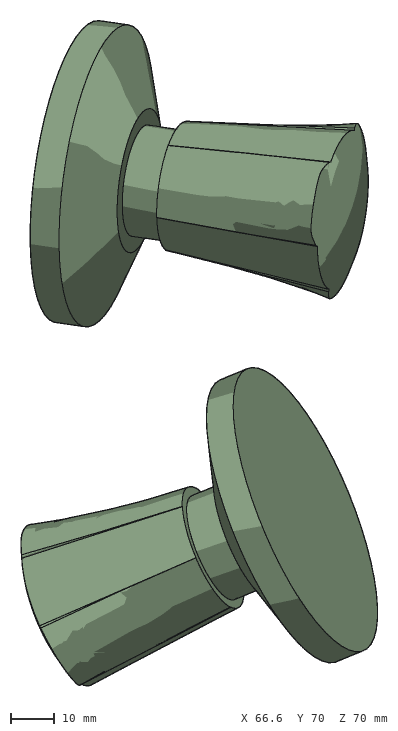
import cadquery as cq
import math

flange_radius = 35.0
flange_rim_length = 7.0
flange_length = 15.0
flange_front_radius = 16.7

neck_radius = 12.9
knob_start = 24.0

core_start_radius = 14.95
lobe_start_radius = 15.05
core_end_radius = 18.5
total_length = 66.56
dome_radius = 16.0
dome_height = 1.66
dome_start = total_length - dome_height
end_cone_run_per_radius = 0.39

lobe_count = 3
first_lobe_angle = 30.0
outline_points = 13
core_end = dome_start - (core_end_radius - dome_radius) * end_cone_run_per_radius
lobe_middle = (knob_start + core_end) / 2
foot_depth = 0.1
lobe_sections = [
    (knob_start, 34.0, 34.0, lobe_start_radius, lobe_start_radius),
    (lobe_middle, 33.2, 32.7, 17.0, 17.25),
    (core_end, 32.4, 30.4, 19.05, 21.2),
]


def core_radius_at(x):
    share = (x - knob_start) / (core_end - knob_start)
    return core_start_radius + share * (core_end_radius - core_start_radius)


def revolve_about_x(sketch):
    return sketch.close().revolve(360, (0, 0, 0), (1, 0, 0))


def make_flange_and_neck():
    profile = (
        cq.Workplane("XY")
        .lineTo(0, flange_radius)
        .lineTo(flange_rim_length, flange_radius)
        .lineTo(flange_length, flange_front_radius)
        .lineTo(flange_length, neck_radius)
        .lineTo(knob_start, neck_radius)
        .lineTo(knob_start, 0)
    )
    return revolve_about_x(profile)


def make_core():
    profile = (
        cq.Workplane("XY")
        .moveTo(knob_start, 0)
        .lineTo(knob_start, core_start_radius)
        .lineTo(total_length, core_radius_at(total_length))
        .lineTo(total_length, 0)
    )
    return revolve_about_x(profile)


def make_end_envelope():
    """Oversize cylinder with the knob's conical, domed end; it trims core and lobes."""
    cone_start = dome_start - (flange_radius - dome_radius) * end_cone_run_per_radius
    sphere_radius = (dome_radius**2 + dome_height**2) / (2 * dome_height)
    mid_radius = dome_radius / 2
    mid_x = total_length - sphere_radius + math.sqrt(sphere_radius**2 - mid_radius**2)
    profile = (
        cq.Workplane("XY")
        .lineTo(0, flange_radius)
        .lineTo(cone_start, flange_radius)
        .lineTo(dome_start, dome_radius)
        .threePointArc((mid_x, mid_radius), (total_length, 0))
    )
    return revolve_about_x(profile)


def lobe_point(x, radius, angle_from_crest):
    angle = math.radians(first_lobe_angle + angle_from_crest)
    return cq.Vector(x, radius * math.cos(angle), radius * math.sin(angle))


def lobe_wire(x, foot_half_angle, edge_half_angle, edge_radius, crest_radius):
    """Wedge from the axis to feet just inside the core, then up to a broad, rounded crest."""
    crest_points = []
    for i in range(outline_points):
        across = 2 * i / (outline_points - 1) - 1
        crest_share = (1 - across**6) ** 2
        radius = edge_radius + (crest_radius - edge_radius) * crest_share
        crest_points.append(lobe_point(x, radius, edge_half_angle * across))
    axis_point = cq.Vector(x, 0, 0)
    foot_radius = core_radius_at(x) - foot_depth
    first_foot = lobe_point(x, foot_radius, -foot_half_angle)
    last_foot = lobe_point(x, foot_radius, foot_half_angle)
    return cq.Wire.assembleEdges([
        cq.Edge.makeLine(axis_point, first_foot),
        cq.Edge.makeLine(first_foot, crest_points[0]),
        cq.Edge.makeSpline(crest_points),
        cq.Edge.makeLine(crest_points[-1], last_foot),
        cq.Edge.makeLine(last_foot, axis_point),
    ])


def make_lobe():
    wires = [lobe_wire(*section) for section in lobe_sections]
    return cq.Workplane(cq.Solid.makeLoft(wires))


def make_knob():
    knob = make_core()
    lobe = make_lobe()
    for i in range(lobe_count):
        knob = knob.union(lobe.rotate((0, 0, 0), (1, 0, 0), i * 360 / lobe_count))
    return knob.intersect(make_end_envelope())


result = make_flange_and_neck().union(make_knob())